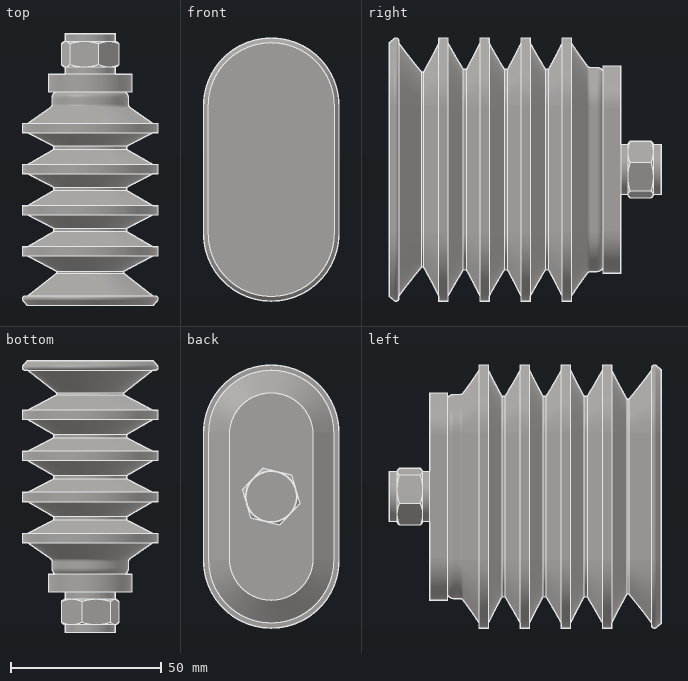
import cadquery as cq
import math


overall_height = 87.7
overall_width = 45.2
outer_radius = overall_width / 2
end_center_z = overall_height / 2 - outer_radius
cone_radius = 20.85
valley_radius = 12.2

lip_back_y = 3.3
lip_rounding = 1.0
lip_flare_angle = 40.0
first_valley_radius = 11.2
first_valley_start_y = 10.8
first_valley_end_y = 11.4

fold_count = 4
fold_pitch = 13.7
first_rim_y = 16.5
rim_width = 3.2
valley_offset = 8.2
valley_width = 1.1

neck_radius = 12.8
neck_corner_y = 66.35
neck_root_trim = 0.7
neck_straight_end_y = 69.2
neck_rounding = 2.4

plate_front_y = 71.15
plate_back_y = 77.1
plate_radius = 14.0
plate_end_center_z = 20.6

fitting_diameter = 16.8
fitting_end_y = 90.6
hex_front_y = 79.5
hex_back_y = 88.0
hex_sides = 6
hex_corner_radius = 9.9
hex_turn = 13.5
hex_chamfer_angle = 30.0


def bellows_half_section():
    """Closed half section in the XY plane, from the axis out to the bellows surface."""
    flare = math.radians(lip_flare_angle)
    corner_center_radius = outer_radius - lip_rounding
    corner_center_y = lip_back_y - lip_rounding
    flare_end_radius = corner_center_radius + lip_rounding * math.cos(flare)
    flare_end_y = corner_center_y - lip_rounding * math.sin(flare)
    face_radius = flare_end_radius - flare_end_y * math.tan(flare)
    section = (
        cq.Workplane("XY")
        .lineTo(face_radius, 0)
        .lineTo(flare_end_radius, flare_end_y)
        .threePointArc((outer_radius, corner_center_y), (corner_center_radius, lip_back_y))
        .lineTo(cone_radius, lip_back_y)
        .lineTo(first_valley_radius, first_valley_start_y)
        .lineTo(first_valley_radius, first_valley_end_y)
    )

    for fold in range(fold_count):
        rim_front_y = first_rim_y + fold * fold_pitch
        rim_back_y = rim_front_y + rim_width
        section = (
            section.lineTo(cone_radius, rim_front_y)
            .lineTo(outer_radius, rim_front_y)
            .lineTo(outer_radius, rim_back_y)
            .lineTo(cone_radius, rim_back_y)
        )
        if fold < fold_count - 1:
            valley_y = rim_front_y + valley_offset
            section = (
                section.lineTo(valley_radius, valley_y)
                .lineTo(valley_radius, valley_y + valley_width)
            )

    last_rim_back_y = first_rim_y + (fold_count - 1) * fold_pitch + rim_width
    cone_angle = math.atan2(neck_corner_y - last_rim_back_y, cone_radius - neck_radius)
    root_start = (
        neck_radius + neck_root_trim * math.cos(cone_angle),
        neck_corner_y - neck_root_trim * math.sin(cone_angle),
    )

    curve_angle = math.asin((plate_front_y - neck_straight_end_y) / neck_rounding)
    neck_end_radius = neck_radius - neck_rounding * (1 - math.cos(curve_angle))
    return (
        section.lineTo(*root_start)
        .tangentArcPoint((neck_radius, neck_corner_y + neck_root_trim), relative=False)
        .lineTo(neck_radius, neck_straight_end_y)
        .tangentArcPoint((neck_end_radius, plate_front_y), relative=False)
        .lineTo(0, plate_front_y)
        .close()
    )


def make_bellows():
    """Straight middle from the half section and its mirror, plus a turned body at each end."""
    straight_side = bellows_half_section().extrude(end_center_z, both=True)
    turned_end = bellows_half_section().revolve(360, (0, 0, 0), (0, 1, 0))
    bellows = straight_side.union(straight_side.mirror("YZ"))
    for end_z in (-end_center_z, end_center_z):
        bellows = bellows.union(turned_end.translate((0, 0, end_z)))
    return bellows


def facing_back(y):
    """Workplane at the given Y whose normal is +Y, with local y along +Z."""
    return cq.Workplane(cq.Plane(origin=(0, y, 0), xDir=(-1, 0, 0), normal=(0, 1, 0)))


def make_plate():
    plate_length = 2 * (plate_end_center_z + plate_radius)
    return (
        facing_back(plate_front_y)
        .slot2D(plate_length, 2 * plate_radius, 90)
        .extrude(plate_back_y - plate_front_y)
    )


def make_hexagon():
    """Hexagon with its corners turned down at both ends to the inscribed circle."""
    hex_width = hex_back_y - hex_front_y
    flat_radius = hex_corner_radius * math.cos(math.pi / hex_sides)
    chamfer_run = hex_corner_radius - flat_radius
    chamfer_height = chamfer_run * math.tan(math.radians(hex_chamfer_angle))
    prism = (
        facing_back(hex_front_y)
        .polygon(hex_sides, 2 * hex_corner_radius)
        .extrude(hex_width)
        .rotate((0, 0, 0), (0, 1, 0), -hex_turn)
    )
    turning_envelope = (
        facing_back(hex_front_y)
        .circle(hex_corner_radius)
        .extrude(hex_width)
        .edges()
        .chamfer(chamfer_height, chamfer_run)
    )
    return prism.intersect(turning_envelope)


def make_fitting():
    stem = (
        facing_back(plate_back_y)
        .circle(fitting_diameter / 2)
        .extrude(fitting_end_y - plate_back_y)
    )
    return stem.union(make_hexagon())


result = make_bellows().union(make_plate()).union(make_fitting())